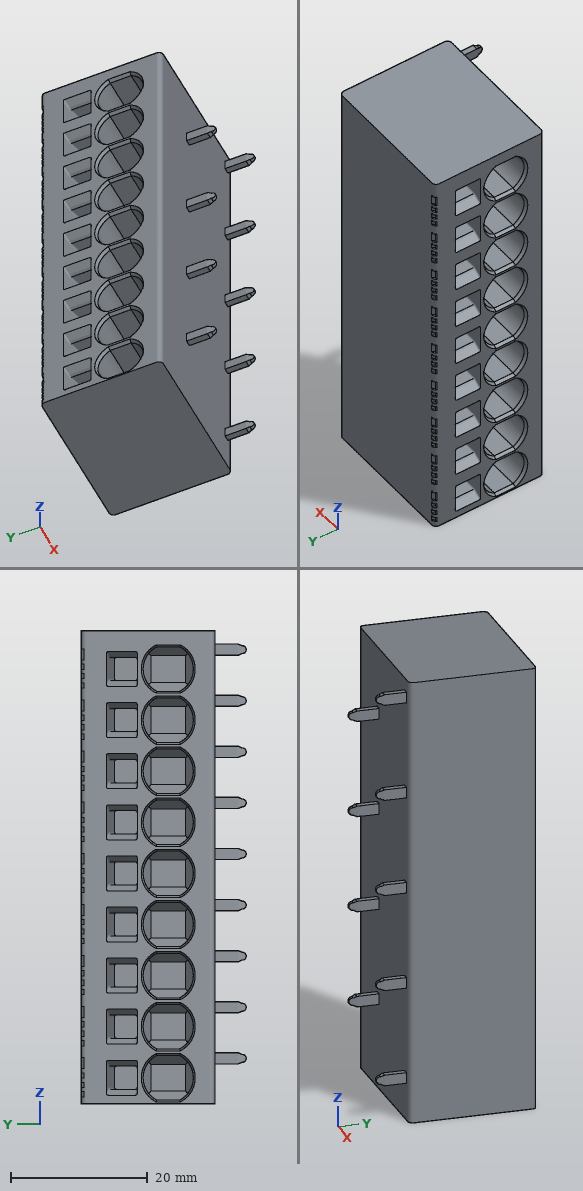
import cadquery as cq
import math

LENGTH = 69.3
WIDTH = 24.1
DEPTH = 19.6
CORNER_RADIUS = 0.75

POLE_COUNT = 9
POLE_PITCH = 7.5
TOP_POLE_Z = 63.7

ENTRY_Y = 6.85
ENTRY_RADIUS = 3.7
ENTRY_FLAT_HEIGHT = 6.5
ENTRY_MOUTH_OFFSET = 0.3
ENTRY_MOUTH_DEPTH = 0.55
ENTRY_DEPTH = 8.3

FUNNEL_FLOOR_Y = 5.05
FUNNEL_FLOOR_Z = 3.95
FUNNEL_RUN = 1.6
FUNNEL_DEPTH = 2.4

WINDOW_Y = 13.65
WINDOW_WIDTH = 4.5
WINDOW_HEIGHT = 5.1
WINDOW_BEVEL_HEIGHT = 3.7
WINDOW_THROAT_HEIGHT = 3.4
WINDOW_CORNER_RADIUS = 0.3
WINDOW_BEVEL_DEPTH = 1.2
WINDOW_NECK_DEPTH = 0.4
WINDOW_DEPTH = 4.7
WINDOW_FLOOR_WIDTH = 3.3

PIN_LENGTH = 4.6
PIN_THICKNESS = 1.0
PIN_HEIGHT = 1.65
PIN_OUTER_X = 22.25
PIN_INNER_X = 9.1
PIN_RISE = 2.85
PIN_TIP_LENGTH = 1.2
PIN_TIP_THICKNESS = 0.4
PIN_TIP_HEIGHT = 1.2
PIN_TIP_TAPER_LENGTH = 0.55

NOTCH_DEPTH = 0.4
NOTCH_FLOOR_LENGTH = 0.5
WIDE_NOTCH_HEIGHT = 1.6
WIDE_NOTCH_RISE = 2.15
NARROW_NOTCH_HEIGHT = 0.75
NARROW_NOTCH_RISE = 0.35
NARROW_NOTCH_PITCH = 1.4
NARROW_NOTCH_COUNT = 3


def side_plane(depth, y, z):
    """Plane facing +X at a depth behind the -X face; local x runs along Y and local y along Z."""
    return cq.Workplane("YZ", origin=(depth, y, z))


def flattened_circle(depth, radius, height, z):
    """Outline of a circle cut by two flats, the upper and lower one."""
    half_height = height / 2
    half_flat = math.sqrt(radius**2 - half_height**2)
    return (
        side_plane(depth, ENTRY_Y, z)
        .moveTo(half_flat, -half_height)
        .threePointArc((radius, 0), (half_flat, half_height))
        .lineTo(-half_flat, half_height)
        .threePointArc((-radius, 0), (-half_flat, -half_height))
        .close()
    )


def wire_entry(z):
    bore = flattened_circle(0, ENTRY_RADIUS, ENTRY_FLAT_HEIGHT, z).extrude(ENTRY_DEPTH)
    mouth_radius = ENTRY_RADIUS + ENTRY_MOUTH_OFFSET
    mouth_height = ENTRY_FLAT_HEIGHT + 2 * ENTRY_MOUTH_OFFSET
    mouth_angle = math.degrees(math.atan2(ENTRY_MOUTH_OFFSET, ENTRY_MOUTH_DEPTH))
    mouth = flattened_circle(0, mouth_radius, mouth_height, z).extrude(ENTRY_MOUTH_DEPTH, taper=mouth_angle)
    funnel = (
        side_plane(ENTRY_DEPTH, ENTRY_Y, z)
        .rect(FUNNEL_FLOOR_Y + 2 * FUNNEL_RUN, FUNNEL_FLOOR_Z + 2 * FUNNEL_RUN)
        .workplane(offset=FUNNEL_DEPTH)
        .rect(FUNNEL_FLOOR_Y, FUNNEL_FLOOR_Z)
        .loft(ruled=True)
    )
    funnel_limit = flattened_circle(ENTRY_DEPTH, ENTRY_RADIUS, ENTRY_FLAT_HEIGHT, z).extrude(FUNNEL_DEPTH)
    return bore.union(mouth).union(funnel.intersect(funnel_limit))


def window_outline(depth, height):
    """Rounded outline of the window at a depth; its +Y wall leans inward towards the floor."""
    width = WINDOW_WIDTH - (WINDOW_WIDTH - WINDOW_FLOOR_WIDTH) * depth / WINDOW_DEPTH
    center_y = (width - WINDOW_WIDTH) / 2
    outline = cq.Sketch().rect(width, height).vertices().fillet(WINDOW_CORNER_RADIUS)
    return outline.moved(cq.Location(cq.Vector(center_y, 0, depth)))


def release_window(z):
    neck_start = WINDOW_BEVEL_DEPTH
    throat_start = neck_start + WINDOW_NECK_DEPTH
    mouth = window_outline(0, WINDOW_HEIGHT)
    bevel_end = window_outline(neck_start, WINDOW_BEVEL_HEIGHT)
    neck_end = window_outline(throat_start, WINDOW_THROAT_HEIGHT)
    floor = window_outline(WINDOW_DEPTH, WINDOW_THROAT_HEIGHT)
    base = side_plane(0, WINDOW_Y, z)
    bevel = base.placeSketch(mouth, bevel_end).loft(ruled=True)
    neck = base.placeSketch(bevel_end, neck_end).loft(ruled=True)
    throat = base.placeSketch(neck_end, floor).loft(ruled=True)
    return bevel.union(neck).union(throat)


def solder_pin(x, z):
    tip_start = -(PIN_LENGTH - PIN_TIP_LENGTH)
    arc_start = tip_start - PIN_TIP_TAPER_LENGTH
    side_outline = (
        cq.Workplane("YZ", origin=(x, 0, z))
        .moveTo(0, PIN_HEIGHT / 2)
        .lineTo(tip_start, PIN_HEIGHT / 2)
        .lineTo(arc_start, PIN_TIP_HEIGHT / 2)
        .threePointArc((-PIN_LENGTH, 0), (arc_start, -PIN_TIP_HEIGHT / 2))
        .lineTo(tip_start, -PIN_HEIGHT / 2)
        .lineTo(0, -PIN_HEIGHT / 2)
        .close()
        .extrude(PIN_THICKNESS / 2, both=True)
    )
    top_outline = (
        cq.Workplane("XY", origin=(x, 0, z))
        .moveTo(PIN_THICKNESS / 2, 0)
        .lineTo(PIN_THICKNESS / 2, tip_start)
        .lineTo(PIN_TIP_THICKNESS / 2, -PIN_LENGTH)
        .lineTo(-PIN_TIP_THICKNESS / 2, -PIN_LENGTH)
        .lineTo(-PIN_THICKNESS / 2, tip_start)
        .lineTo(-PIN_THICKNESS / 2, 0)
        .close()
        .extrude(PIN_HEIGHT / 2, both=True)
    )
    return side_outline.intersect(top_outline)


def marker_notch(z, height):
    """Notch across the +Y edge of the -X face, with a flat floor and a 45 degree end ramp."""
    floor_y = DEPTH - NOTCH_DEPTH
    return (
        cq.Workplane("XY", origin=(0, 0, z))
        .moveTo(0, floor_y)
        .lineTo(NOTCH_FLOOR_LENGTH, floor_y)
        .lineTo(NOTCH_FLOOR_LENGTH + NOTCH_DEPTH, DEPTH)
        .lineTo(0, DEPTH)
        .close()
        .extrude(height / 2, both=True)
    )


housing = (
    cq.Workplane("XY")
    .rect(WIDTH, DEPTH, centered=False)
    .extrude(LENGTH)
    .edges("|Z")
    .fillet(CORNER_RADIUS)
)

result = housing
for pole in range(POLE_COUNT):
    z = TOP_POLE_Z - pole * POLE_PITCH
    result = result.cut(wire_entry(z)).cut(release_window(z))
    result = result.cut(marker_notch(z + WIDE_NOTCH_RISE, WIDE_NOTCH_HEIGHT))
    for notch in range(NARROW_NOTCH_COUNT):
        notch_z = z + NARROW_NOTCH_RISE - notch * NARROW_NOTCH_PITCH
        result = result.cut(marker_notch(notch_z, NARROW_NOTCH_HEIGHT))
    pin_x = PIN_OUTER_X if pole % 2 == 0 else PIN_INNER_X
    result = result.union(solder_pin(pin_x, z + PIN_RISE))